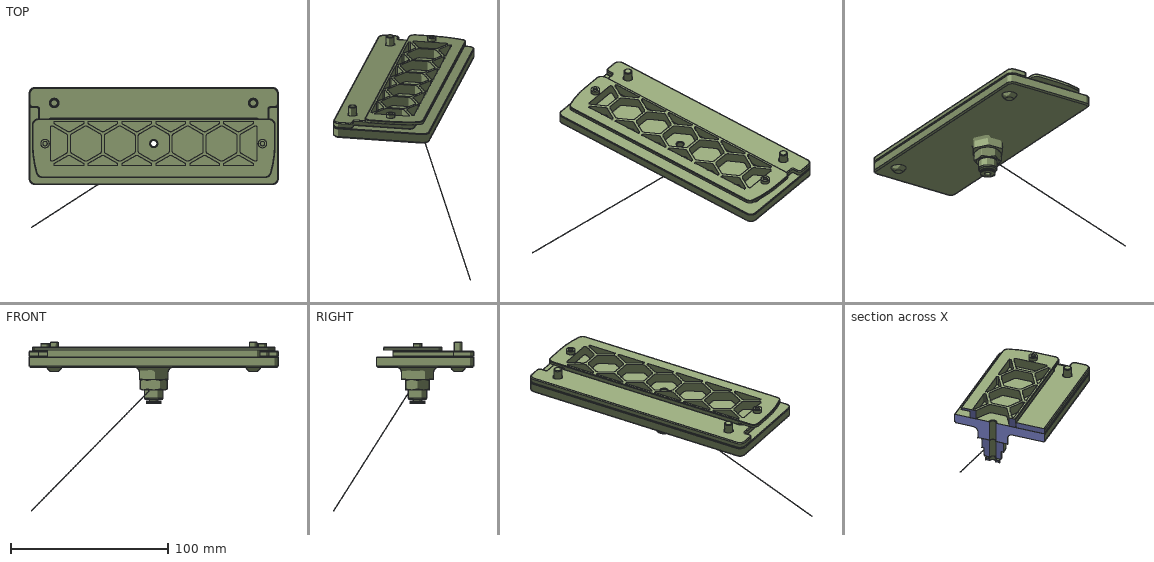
import cadquery as cq
import math


BASE_LENGTH = 158.4
BASE_BACK = 35.8
BASE_FRONT = -26.1
BASE_HEIGHT = 6.7
BASE_CORNER_RADIUS = 4.1
BASE_TOP_CHAMFER = 0.5
BASE_BOTTOM_CHAMFER = 1.0

BOSS_FLATS = 18.4
BOSS_HEIGHT = 7.6
BOSS_CORNER_RADIUS = 2.0
BOSS_ROOT_FILLET = 3.2
AIR_HOLE_DIAMETER = 4.3
AIR_HOLE_CHAMFER = 0.5

FRAME_TOP = 10.5
FRAME_STEP_Y = 22.8
FRAME_ARM_X = 73.2
FRAME_FRONT = -15.7
FRAME_CORNER_RADIUS = 3.2
FRAME_STEP_RADIUS = 2.4
FRAME_NOTCH_FILLET = 0.8
FRAME_EDGE_CHAMFER = 0.6
FRAME_BOLT_HOLE = 6.0
FRAME_HEIGHT = FRAME_TOP - BASE_HEIGHT

INSERT_HALF_LENGTH = 67.6
LIP_BOTTOM = 11.0
LIP_TOP = 12.8
LIP_HALF_LENGTH = 77.1
LIP_BACK = 15.7
LIP_FRONT = -21.5
LIP_SIDE_RADIUS = 68.1
LIP_CORNER_RADIUS = 4.0
LIP_EDGE_CHAMFER = 0.4

CELL_FLATS = 19.8
CELL_WALL = 1.7
CELL_CORNER_RADIUS = 1.9
END_CELL_CORNER_RADIUS = 0.8
OUTER_CELL_WIDTH = 18.8
FIELD_HALF_LENGTH = 65.5
FIELD_HALF_WIDTH = 14.0
CELL_PITCH = CELL_FLATS + CELL_WALL
CELL_ROW_PITCH = CELL_PITCH * math.sin(math.radians(60))

BOLT_X = 63.2
BOLT_Y = 25.8
BOLT_DIAMETER = 5.0
BOLT_TOP = 16.2
BOLT_TIP_CHAMFER = 0.5
BOLT_HEAD_DIAMETER = 9.7
BOLT_HEAD_END_DIAMETER = 5.0
BOLT_HEAD_HEIGHT = 2.7
BOLT_HEAD_BULGE = 0.2

SCREW_X = 69.0
SCREW_HEAD_DIAMETER = 5.4
SCREW_HEAD_HEIGHT = 2.2
SCREW_SOCKET_DIAMETER = 2.9
SCREW_SOCKET_DEPTH = 1.3

NUT_FLATS = 15.0
NUT_HEIGHT = 6.8
NUT_CORNER_RADIUS = 0.5
NUT_CHAMFER_WIDTH = 1.5
NUT_CHAMFER_HEIGHT = 0.8
BARREL_DIAMETER = 12.0
BARREL_LENGTH = 5.9
BARREL_CHAMFER_WIDTH = 0.55
BARREL_CHAMFER_HEIGHT = 0.8
BORE_DIAMETER = 4.0
NUT_BOTTOM = -BOSS_HEIGHT - NUT_HEIGHT
BARREL_BOTTOM = NUT_BOTTOM - BARREL_LENGTH

COLLET_NECK_DIAMETER = 5.5
COLLET_NECK_LENGTH = 1.0
COLLET_FLANGE_DIAMETER = 9.5
COLLET_WAIST_DIAMETER = 9.0
COLLET_UPPER_RIM = 0.3
COLLET_LOWER_RIM = 0.6
COLLET_FLANGE_HEIGHT = 1.7
COLLET_FLANGE_TOP = BARREL_BOTTOM - COLLET_NECK_LENGTH
COLLET_BOTTOM = COLLET_FLANGE_TOP - COLLET_FLANGE_HEIGHT

WIRE_DIAMETER = 0.2
WIRE_START = cq.Vector(-3.0, -5.0, -15.0)
WIRE_END = cq.Vector(-77.6, -53.2, -91.1)

CLOSE = 0.2

BOLT_PLACES = [(-BOLT_X, BOLT_Y), (BOLT_X, BOLT_Y)]
SCREW_PLACES = [(-SCREW_X, 0), (SCREW_X, 0)]


def hexagon_prism(flats, bottom, height, corner_radius, turn=0):
    """Upright hexagonal prism with rounded corners; two corners lie on X before turning."""
    prism = cq.Workplane().polygon(6, flats / math.cos(math.radians(30))).extrude(height)
    prism = prism.edges("|Z").fillet(corner_radius)
    return prism.rotate((0, 0, 0), (0, 0, 1), turn).translate((0, 0, bottom))


def edges_near(body, x, y, z, reach):
    """Edges whose centres lie in a small box around a point; reach holds its half sizes."""
    low = (x - reach[0], y - reach[1], z - reach[2])
    high = (x + reach[0], y + reach[1], z + reach[2])
    return body.edges(cq.selectors.BoxSelector(low, high))


def cylinder(diameter, bottom, top):
    return cq.Workplane().workplane(offset=bottom).circle(diameter / 2).extrude(top - bottom)


def block(x_min, x_max, y_min, y_max, bottom, top):
    size = (x_max - x_min, y_max - y_min, top - bottom)
    return cq.Workplane().box(*size, centered=False).translate((x_min, y_min, bottom))


def make_base():
    half = BASE_LENGTH / 2
    plate = block(-half, half, BASE_FRONT, BASE_BACK, 0, BASE_HEIGHT)
    plate = plate.edges("|Z").fillet(BASE_CORNER_RADIUS)
    plate = plate.faces(">Z").chamfer(BASE_TOP_CHAMFER)
    plate = plate.faces("<Z").chamfer(BASE_BOTTOM_CHAMFER)
    boss = hexagon_prism(BOSS_FLATS, -BOSS_HEIGHT, BOSS_HEIGHT, BOSS_CORNER_RADIUS, turn=30)
    base = plate.union(boss)
    root_reach = (BOSS_FLATS, BOSS_FLATS, CLOSE)
    base = edges_near(base, 0, 0, 0, root_reach).fillet(BOSS_ROOT_FILLET)
    base = base.cut(cylinder(AIR_HOLE_DIAMETER, -BOSS_HEIGHT, BASE_HEIGHT))
    rim_reach = (AIR_HOLE_DIAMETER, AIR_HOLE_DIAMETER, CLOSE)
    base = edges_near(base, 0, 0, BASE_HEIGHT, rim_reach).chamfer(AIR_HOLE_CHAMFER)
    for x, y in BOLT_PLACES:
        base = base.cut(cylinder(BOLT_DIAMETER, 0, BASE_HEIGHT).translate((x, y, 0)))
    return base


def insert_block(top):
    """Sharp-cornered block that stands where the grid's insert fills the frame."""
    return block(-INSERT_HALF_LENGTH, INSERT_HALF_LENGTH, FRAME_FRONT, LIP_BACK, BASE_HEIGHT, top)


def make_frame():
    """U-shaped frame, open to the front, with a wide back and two narrower arms."""
    half = BASE_LENGTH / 2
    back = block(-half, half, FRAME_STEP_Y, BASE_BACK, BASE_HEIGHT, FRAME_TOP)
    back = back.edges("|Z and >Y").fillet(BASE_CORNER_RADIUS)
    back = back.edges("|Z and <Y").fillet(FRAME_STEP_RADIUS)
    arms = block(-FRAME_ARM_X, FRAME_ARM_X, FRAME_FRONT, FRAME_STEP_Y, BASE_HEIGHT, FRAME_TOP)
    arms = arms.edges("|Z and <Y").fillet(FRAME_CORNER_RADIUS)
    opening = insert_block(FRAME_TOP).edges("|Z and >Y").fillet(FRAME_CORNER_RADIUS)
    frame = back.union(arms)
    for x in (-FRAME_ARM_X, FRAME_ARM_X):
        notch = edges_near(frame, x, FRAME_STEP_Y, BASE_HEIGHT + FRAME_HEIGHT / 2, (CLOSE, CLOSE, CLOSE))
        frame = notch.fillet(FRAME_NOTCH_FILLET)
    frame = frame.cut(opening)
    frame = frame.faces("<Z or >Z").chamfer(FRAME_EDGE_CHAMFER)
    for x, y in BOLT_PLACES:
        frame = frame.cut(cylinder(FRAME_BOLT_HOLE, BASE_HEIGHT, FRAME_TOP).translate((x, y, 0)))
    return frame


def make_lip():
    """Plate whose straight sides curve inward ahead of the hole axis."""
    inset = LIP_SIDE_RADIUS - math.sqrt(LIP_SIDE_RADIUS**2 - LIP_FRONT**2)
    half_front = LIP_HALF_LENGTH - inset
    outline = (
        cq.Workplane()
        .workplane(offset=LIP_BOTTOM)
        .moveTo(-LIP_HALF_LENGTH, LIP_BACK)
        .lineTo(LIP_HALF_LENGTH, LIP_BACK)
        .lineTo(LIP_HALF_LENGTH, 0)
        .radiusArc((half_front, LIP_FRONT), LIP_SIDE_RADIUS)
        .lineTo(-half_front, LIP_FRONT)
        .radiusArc((-LIP_HALF_LENGTH, 0), LIP_SIDE_RADIUS)
        .close()
    )
    lip = outline.extrude(LIP_TOP - LIP_BOTTOM)
    lip = lip.edges("|Z and (<Y or >Y)").fillet(LIP_CORNER_RADIUS)
    return lip.faces(">Z").chamfer(LIP_EDGE_CHAMFER)


def make_cells():
    """Hexagonal openings in a row, whole or cut short at its ends, between two rows of part cells."""
    height = LIP_TOP - BASE_HEIGHT
    hexagon = hexagon_prism(CELL_FLATS, BASE_HEIGHT, height, CELL_CORNER_RADIUS, turn=30)
    field_sides = (-FIELD_HALF_LENGTH, FIELD_HALF_LENGTH, -FIELD_HALF_WIDTH, FIELD_HALF_WIDTH)
    field = block(*field_sides, BASE_HEIGHT, LIP_TOP)

    cells = [hexagon.translate((column * CELL_PITCH, 0, 0)) for column in range(-2, 3)]
    for column, outer_edges in ((-3, "|Z and <X"), (3, "|Z and >X")):
        end_cell = hexagon.translate((column * CELL_PITCH, 0, 0)).intersect(field)
        cells.append(end_cell.edges(outer_edges).fillet(END_CELL_CORNER_RADIUS))

    half_width = OUTER_CELL_WIDTH / 2
    strip = block(-half_width, half_width, -CELL_FLATS, CELL_FLATS, BASE_HEIGHT, LIP_TOP)
    outer_hexagon = hexagon.intersect(strip)
    for row in (-1, 1):
        for column in range(-3, 3):
            centre = ((column + 0.5) * CELL_PITCH, row * CELL_ROW_PITCH, 0)
            cells.append(outer_hexagon.translate(centre).intersect(field))
    return cells


def make_grid():
    insert = insert_block(LIP_BOTTOM).edges("|Z").fillet(FRAME_CORNER_RADIUS)
    grid = insert.union(make_lip())
    for cell in make_cells():
        grid = grid.cut(cell)
    return grid


def make_bolt(x, y):
    """Button-head bolt, head under the base."""
    head_radius = BOLT_HEAD_DIAMETER / 2
    end_radius = BOLT_HEAD_END_DIAMETER / 2
    middle = ((head_radius + end_radius) / 2 + BOLT_HEAD_BULGE, -BOLT_HEAD_HEIGHT / 2 - BOLT_HEAD_BULGE)
    head = (
        cq.Workplane("XZ")
        .lineTo(head_radius, 0)
        .threePointArc(middle, (end_radius, -BOLT_HEAD_HEIGHT))
        .lineTo(0, -BOLT_HEAD_HEIGHT)
        .close()
        .revolve(360, (0, 0), (0, 1))
    )
    shank = cylinder(BOLT_DIAMETER, 0, BOLT_TOP).faces(">Z").chamfer(BOLT_TIP_CHAMFER)
    return head.union(shank).translate((x, y, 0))


def make_screw(x, y):
    top = LIP_TOP + SCREW_HEAD_HEIGHT
    head = cylinder(SCREW_HEAD_DIAMETER, LIP_TOP, top)
    return head.cut(cylinder(SCREW_SOCKET_DIAMETER, top - SCREW_SOCKET_DEPTH, top)).translate((x, y, 0))


def make_fitting():
    nut = hexagon_prism(NUT_FLATS, NUT_BOTTOM, NUT_HEIGHT, NUT_CORNER_RADIUS)
    across_corners = NUT_FLATS / math.cos(math.radians(30))
    envelope = cylinder(across_corners, NUT_BOTTOM, -BOSS_HEIGHT)
    envelope = envelope.faces("<Z or >Z").chamfer(NUT_CHAMFER_HEIGHT, NUT_CHAMFER_WIDTH)
    barrel = cylinder(BARREL_DIAMETER, BARREL_BOTTOM, NUT_BOTTOM)
    barrel = barrel.faces("<Z").chamfer(BARREL_CHAMFER_HEIGHT, BARREL_CHAMFER_WIDTH)
    bore = cylinder(BORE_DIAMETER, BARREL_BOTTOM, -BOSS_HEIGHT)
    return nut.intersect(envelope).union(barrel).cut(bore)


def make_collet():
    neck = cylinder(COLLET_NECK_DIAMETER, COLLET_FLANGE_TOP, BARREL_BOTTOM)
    waist = cylinder(COLLET_WAIST_DIAMETER, COLLET_BOTTOM, COLLET_FLANGE_TOP)
    collet = neck.union(waist)
    upper_rim = cylinder(COLLET_FLANGE_DIAMETER, COLLET_FLANGE_TOP - COLLET_UPPER_RIM, COLLET_FLANGE_TOP)
    lower_rim = cylinder(COLLET_FLANGE_DIAMETER, COLLET_BOTTOM, COLLET_BOTTOM + COLLET_LOWER_RIM)
    collet = collet.union(upper_rim).union(lower_rim)
    return collet.cut(cylinder(BORE_DIAMETER, COLLET_BOTTOM, BARREL_BOTTOM))


def make_wire():
    run = WIRE_END - WIRE_START
    start = cq.Plane(origin=WIRE_START.toTuple(), normal=run.toTuple())
    return cq.Workplane(start).circle(WIRE_DIAMETER / 2).extrude(run.Length)


base = make_base()
frame = make_frame()
grid = make_grid()
bolts = [make_bolt(x, y) for x, y in BOLT_PLACES]
screws = [make_screw(x, y) for x, y in SCREW_PLACES]
fitting = make_fitting()
collet = make_collet()
wire = make_wire().cut(fitting)

result = cq.Compound.makeCompound(
    [
        base.val(),
        frame.val(),
        grid.val(),
        *[bolt.val() for bolt in bolts],
        *[screw.val() for screw in screws],
        fitting.val(),
        collet.val(),
        wire.val(),
    ]
)